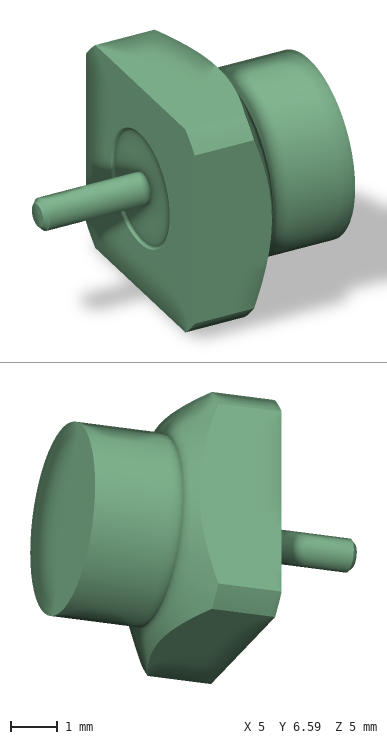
import cadquery as cq
import math

total_length = 6.59
flange_width = 5.0
flange_corner_radius = 3.25
barrel_radius = 2.1
barrel_length = 2.0
pin_length = 2.49
pin_radius = 0.37
pin_chamfer = 0.105
cone_angle = 30.0

recess_outer_radius = 1.35
recess_inner_radius = 1.29
recess_depth = 0.06

body_length = total_length - pin_length
cone_end = body_length - barrel_length
cone_length = (flange_corner_radius - barrel_radius) * math.tan(math.radians(cone_angle))
cone_start = cone_end - cone_length


def revolve_profile(points):
    """Revolve (radius, Y) points about the Y axis."""
    return cq.Workplane("XY").polyline(points).close().revolve(360, (0, 0, 0), (0, 1, 0))


def make_flange():
    """Round flange with a bevelled rear, trimmed to a square outline."""
    turned = revolve_profile([
        (0, 0),
        (flange_corner_radius, 0),
        (flange_corner_radius, cone_start),
        (barrel_radius, cone_end),
        (0, cone_end),
    ])
    square = cq.Workplane("XY").box(flange_width, cone_end, flange_width)
    return turned.intersect(square.translate((0, cone_end / 2, 0)))


def make_barrel():
    return revolve_profile([
        (0, cone_end),
        (barrel_radius, cone_end),
        (barrel_radius, body_length),
        (0, body_length),
    ])


def make_recess():
    return revolve_profile([
        (0, 0),
        (recess_outer_radius, 0),
        (recess_inner_radius, recess_depth),
        (0, recess_depth),
    ])


def make_pin():
    """Pin standing on the recess floor, chamfered at its free end."""
    return revolve_profile([
        (0, recess_depth),
        (pin_radius, recess_depth),
        (pin_radius, pin_chamfer - pin_length),
        (pin_radius - pin_chamfer, -pin_length),
        (0, -pin_length),
    ])


result = make_flange().union(make_barrel()).cut(make_recess()).union(make_pin())